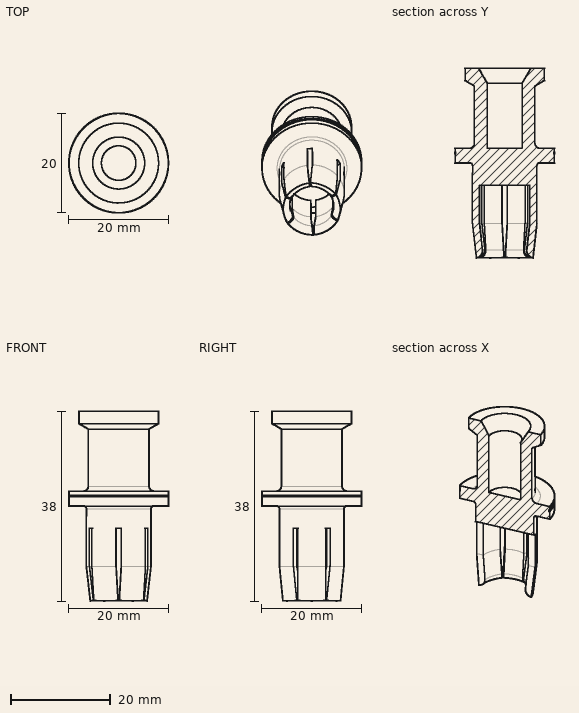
import cadquery as cq
import math

TOTAL_HEIGHT = 38.0
FLANGE_DIAMETER = 20.0
HEAD_DIAMETER = 16.0
NECK_DIAMETER = 12.2
BARREL_DIAMETER = 13.0
TIP_DIAMETER = 11.4

HEAD_RIM_HEIGHT = 2.5
HEAD_CONE_SLOPE = 30.0
FLANGE_TOP = 22.0
FLANGE_THICKNESS = 3.0
SLOT_TOP = 14.5
BEND_HEIGHT = 7.0

NECK_FILLET = 1.0
BARREL_FILLET = 0.5

GROOVE_OFFSET = 0.87
GROOVE_WIDTH = 0.3
GROOVE_DEPTH = 0.1

HOLE_DIAMETER = 6.9
MOUTH_DIAMETER = 10.4
MOUTH_DEPTH = 3.0
HOLE_DEPTH = TOTAL_HEIGHT - FLANGE_TOP

FINGER_COUNT = 6
FINGER_PITCH = 360 / FINGER_COUNT
SLOT_WIDTH = 1.0
BORE_DIAMETER = 10.05
TIP_ROUNDING = 1.45

flange_radius = FLANGE_DIAMETER / 2
head_radius = HEAD_DIAMETER / 2
neck_radius = NECK_DIAMETER / 2
barrel_radius = BARREL_DIAMETER / 2
tip_radius = TIP_DIAMETER / 2
bore_radius = BORE_DIAMETER / 2
flange_bottom = FLANGE_TOP - FLANGE_THICKNESS


def make_solid_body():
    """Revolve the head, neck, flange and the barrel down to the bend, all without holes."""
    head_bottom = TOTAL_HEIGHT - HEAD_RIM_HEIGHT
    cone_height = (head_radius - neck_radius) * math.tan(math.radians(HEAD_CONE_SLOPE))
    groove_top = FLANGE_TOP - GROOVE_OFFSET
    groove_bottom = groove_top - GROOVE_WIDTH
    groove_radius = flange_radius - GROOVE_DEPTH
    arc_inset = 1 - math.sqrt(0.5)
    profile = (
        cq.Workplane("XZ")
        .moveTo(0, TOTAL_HEIGHT)
        .lineTo(head_radius, TOTAL_HEIGHT)
        .lineTo(head_radius, head_bottom)
        .lineTo(neck_radius, head_bottom - cone_height)
        .lineTo(neck_radius, FLANGE_TOP + NECK_FILLET)
        .threePointArc(
            (neck_radius + NECK_FILLET * arc_inset, FLANGE_TOP + NECK_FILLET * arc_inset),
            (neck_radius + NECK_FILLET, FLANGE_TOP),
        )
        .lineTo(flange_radius, FLANGE_TOP)
        .lineTo(flange_radius, groove_top)
        .lineTo(groove_radius, groove_top)
        .lineTo(groove_radius, groove_bottom)
        .lineTo(flange_radius, groove_bottom)
        .lineTo(flange_radius, flange_bottom)
        .lineTo(barrel_radius + BARREL_FILLET, flange_bottom)
        .threePointArc(
            (barrel_radius + BARREL_FILLET * arc_inset, flange_bottom - BARREL_FILLET * arc_inset),
            (barrel_radius, flange_bottom - BARREL_FILLET),
        )
        .lineTo(barrel_radius, BEND_HEIGHT)
        .lineTo(0, BEND_HEIGHT)
        .close()
    )
    return profile.revolve(360, (0, 0, 0), (0, 1, 0))


def make_head_hole():
    """Blind hole with its conical mouth, to cut away."""
    profile = (
        cq.Workplane("XZ")
        .moveTo(0, TOTAL_HEIGHT)
        .lineTo(MOUTH_DIAMETER / 2, TOTAL_HEIGHT)
        .lineTo(HOLE_DIAMETER / 2, TOTAL_HEIGHT - MOUTH_DEPTH)
        .lineTo(HOLE_DIAMETER / 2, TOTAL_HEIGHT - HOLE_DEPTH)
        .lineTo(0, TOTAL_HEIGHT - HOLE_DEPTH)
        .close()
    )
    return profile.revolve(360, (0, 0, 0), (0, 1, 0))


def slot_edge_point(radius, side):
    """Where a slot wall beside the finger on +X meets a circle of this radius."""
    half_pitch = math.radians(FINGER_PITCH / 2)
    angle = side * (half_pitch - math.asin(SLOT_WIDTH / 2 / radius))
    return (radius * math.cos(angle), radius * math.sin(angle))


def make_finger():
    """Bent end of the finger centred on +X, leaning inward from the bend to its tip."""
    section = (
        cq.Workplane("XY", origin=(0, 0, BEND_HEIGHT))
        .moveTo(*slot_edge_point(bore_radius, -1))
        .lineTo(*slot_edge_point(barrel_radius, -1))
        .threePointArc((barrel_radius, 0), slot_edge_point(barrel_radius, 1))
        .lineTo(*slot_edge_point(bore_radius, 1))
        .threePointArc((bore_radius, 0), slot_edge_point(bore_radius, -1))
        .close()
    )
    lean_path = cq.Workplane("XZ").moveTo(barrel_radius, BEND_HEIGHT).lineTo(tip_radius, 0)
    lean_direction = (tip_radius - barrel_radius, 0, -BEND_HEIGHT)
    tip_plane = cq.Plane(origin=(tip_radius, 0, 0), xDir=(0, 1, 0), normal=lean_direction)
    tip_waste = cq.Workplane(tip_plane).rect(BARREL_DIAMETER, BARREL_DIAMETER).extrude(BEND_HEIGHT)
    sharp_finger = section.sweep(lean_path).cut(tip_waste)
    wall = barrel_radius - bore_radius
    inner_tip_corner = cq.selectors.NearestToPointSelector((tip_radius - wall, 0, 0))
    return sharp_finger.edges(inner_tip_corner).fillet(TIP_ROUNDING)


def make_slots():
    """Boxes across the whole barrel, each forming two opposite slots, to cut away."""
    slots = cq.Workplane("XY")
    for index in range(FINGER_COUNT // 2):
        slot = (
            cq.Workplane("XY", origin=(0, 0, BEND_HEIGHT))
            .rect(BARREL_DIAMETER + SLOT_WIDTH, SLOT_WIDTH)
            .extrude(SLOT_TOP - BEND_HEIGHT)
            .rotate((0, 0, 0), (0, 0, 1), (index + 0.5) * FINGER_PITCH)
        )
        slots = slots.add(slot)
    return slots.combine()


def make_barrel_bore():
    """Bore of the straight barrel, as deep as the slots, to cut away."""
    return (
        cq.Workplane("XY", origin=(0, 0, BEND_HEIGHT))
        .circle(bore_radius)
        .extrude(SLOT_TOP - BEND_HEIGHT)
    )


body = make_solid_body().cut(make_head_hole()).cut(make_barrel_bore()).cut(make_slots())
finger = make_finger()
for index in range(FINGER_COUNT):
    body = body.union(finger.rotate((0, 0, 0), (0, 0, 1), index * FINGER_PITCH))

result = cq.Workplane(body.solids().val())